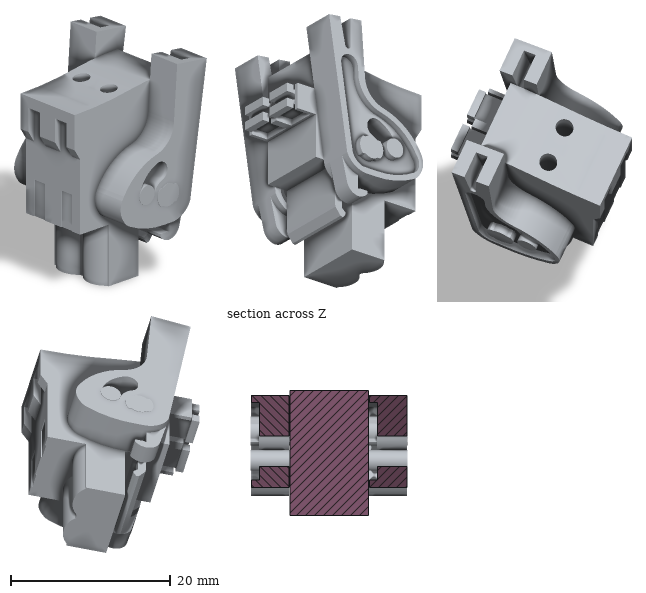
import cadquery as cq
import math


housing_width = 9.95
pole_offset = 2.5
front_lip = 0.95
lip_bottom = 11.7
lip_chamfer_bottom = 10.15
front_top = 16.47
crown_y, crown_z = 8.9, 17.33
back_y = 15.75
back_top = 17.85
back_bottom = 2.9

block_back = 18.65
block_bottom = 8.85
block_top = 12.4
bay_front = 16.27
bay_width = 3.9

upper_pocket_width = 2.13
upper_pocket_top = 14.95
lower_pocket_width = 2.0
lower_pocket_top = 5.0
lower_pocket_depth = 0.15
pocket_outer_x = 3.5

wire_hole_diameter = 2.25
wire_hole_y = 7.25
wire_hole_bottom = 10.63

plug_back = 10.05
plug_flat_front = 4.93
plug_round_front = 3.93
plug_length = 8.35
plug_round_width = 4.45

latch_back = 12.75

lever_width = 4.72
lever_pitch = 14.82
recess_depth = 1.0
finger_slot_depth = 3.6
finger_slot_left, finger_slot_right = 14.8, 13.95
finger_slot_arc_z = 17.03
finger_slot_taper = 0.21
lever_top = 21.17
hook_width = 2.5

pivot_y, pivot_z = 10.65, 3.9
pivot_radius = 1.54
key_radius = 1.83
key_height = 2.42
pin_span = 19.7
pin_tip_x = pin_span / 2
guide_orbit = 3.8
guide_radius = 1.3
guide_start_angle = 14.6
guide_end_angle = 68.0

contact_width = 3.7
contact_z = 10.7
contact_back = 19.85
head_front = 18.85
head_height = 3.25
stem_height = 2.0
contact_slot_width = 0.95
contact_slot_arc_y = 18.92


def side_plane(x):
    """YZ plane at the given X; extrusion runs toward +X."""
    return cq.Workplane("YZ", origin=(x, 0, 0))


def box(x_range, y_range, z_range):
    size = [high - low for low, high in (x_range, y_range, z_range)]
    return cq.Workplane("XY").box(*size, centered=False).translate((x_range[0], y_range[0], z_range[0]))


def around(centre, width):
    return (centre - width / 2, centre + width / 2)


def orbit_point(angle, radius):
    """Point at a radius from the pivot, at an angle above the -Y direction."""
    turn = math.radians(angle)
    return (pivot_y - radius * math.cos(turn), pivot_z + radius * math.sin(turn))


def pivot_pin(start_x, length):
    """Round pivot with a flat-topped key on its front and back."""
    core = side_plane(start_x).center(pivot_y, pivot_z).circle(pivot_radius).extrude(length)
    disc = side_plane(start_x).center(pivot_y, pivot_z).circle(key_radius).extrude(length)
    band = box((start_x, start_x + length), around(pivot_y, 2 * key_radius), around(pivot_z, key_height))
    return core.union(disc.intersect(band))


def guide_pin(start_x, length):
    centre = orbit_point(guide_start_angle, guide_orbit)
    return side_plane(start_x).center(*centre).circle(guide_radius).extrude(length)


def housing_shell():
    return (
        side_plane(-housing_width / 2)
        .moveTo(-front_lip, front_top)
        .threePointArc((4.78, 16.77), (crown_y, crown_z))
        .threePointArc((11.99, 17.7), (back_y, back_top))
        .lineTo(back_y, block_top)
        .lineTo(block_back, block_top)
        .lineTo(block_back, block_bottom)
        .lineTo(back_y, block_bottom)
        .lineTo(back_y, back_bottom)
        .lineTo(latch_back, back_bottom)
        .lineTo(latch_back, 0)
        .lineTo(0, 0)
        .lineTo(0, lip_chamfer_bottom)
        .lineTo(-front_lip, lip_bottom)
        .close()
        .extrude(housing_width)
    )


def latch_tongue():
    profile = [
        (latch_back, 0), (11.28, 0), (11.65, -0.97), (11.65, -2.98), (11.1, -3.48), (11.1, -3.78),
        (11.45, -4.28), (11.87, -4.2), (12.65, -3.15), (latch_back, -2.63),
    ]
    return side_plane(-housing_width / 2).polyline(profile).close().extrude(housing_width)


def plug():
    half_width = housing_width / 2
    outline = cq.Workplane("XY").moveTo(half_width, plug_back).lineTo(-half_width, plug_back)
    outline = outline.lineTo(-half_width, plug_flat_front)
    for x in (-pole_offset, pole_offset):
        left, right = around(x, plug_round_width)
        outline = outline.lineTo(left, plug_flat_front)
        outline = outline.threePointArc((x, plug_round_front), (right, plug_flat_front))
    return outline.lineTo(half_width, plug_flat_front).close().extrude(-plug_length)


def make_housing():
    body = housing_shell().union(latch_tongue()).union(plug())
    for side in (-1, 1):
        pole_x = side * pole_offset
        bay = box(around(pole_x, bay_width), (bay_front, block_back), (block_bottom, block_top))
        upper_x = side * (pocket_outer_x - upper_pocket_width / 2)
        upper_span = around(upper_x, upper_pocket_width)
        upper = box(upper_span, (-front_lip, 0), (lip_chamfer_bottom, upper_pocket_top))
        lower_x = side * (pocket_outer_x - lower_pocket_width / 2)
        lower_span = around(lower_x, lower_pocket_width)
        lower = box(lower_span, (0, lower_pocket_depth), (0, lower_pocket_top))
        wire_hole = (
            cq.Workplane("XY", origin=(pole_x, wire_hole_y, wire_hole_bottom))
            .circle(wire_hole_diameter / 2)
            .extrude(back_top - wire_hole_bottom)
        )
        body = body.cut(bay).cut(upper).cut(lower).cut(wire_hole)
    pin_start = housing_width / 2
    pin_length = pin_tip_x - pin_start
    for start_x in (-pin_tip_x, pin_start):
        body = body.union(pivot_pin(start_x, pin_length)).union(guide_pin(start_x, pin_length))
    return body


def lever_plate(outer_x):
    return (
        side_plane(outer_x)
        .moveTo(17.33, 20.55)
        .lineTo(12.22, lever_top)
        .lineTo(11.65, 13.43)
        .threePointArc((10.85, 11.28), (8.7, 9.9))
        .threePointArc((5.65, 8.5), (3.05, 5.73))
        .lineTo(2.75, 5.2)
        .threePointArc((2.48, 3.8), (2.98, 2.4))
        .threePointArc((3.42, 1.8), (3.99, 1.42))
        .threePointArc((6.7, 0.38), (10.0, 0))
        .lineTo(11.4, 0)
        .threePointArc((13.15, 0.53), (14.46, 2.07))
        .close()
        .extrude(lever_width)
    )


def lever_recess(outer_x):
    return (
        side_plane(outer_x)
        .moveTo(15.45, 14.5)
        .threePointArc((14.1, 15.85), (12.78, 14.58))
        .lineTo(12.72, 13.9)
        .threePointArc((11.9, 11.1), (8.95, 9.15))
        .threePointArc((5.65, 7.5), (3.48, 4.85))
        .threePointArc((3.1, 3.8), (3.99, 2.3))
        .threePointArc((6.7, 1.18), (9.48, 0.83))
        .lineTo(11.99, 0.83)
        .threePointArc((12.95, 1.4), (13.6, 2.42))
        .close()
        .extrude(recess_depth)
    )


def finger_slot(outer_x):
    mid_y = (finger_slot_left + finger_slot_right) / 2
    arc_radius = (finger_slot_left - finger_slot_right) / 2
    open_left = finger_slot_left + finger_slot_taper * (lever_top - finger_slot_arc_z)
    return (
        side_plane(outer_x)
        .moveTo(open_left, lever_top)
        .lineTo(finger_slot_left, finger_slot_arc_z)
        .threePointArc((mid_y, finger_slot_arc_z - arc_radius), (finger_slot_right, finger_slot_arc_z))
        .lineTo(finger_slot_right, lever_top)
        .close()
        .extrude(finger_slot_depth)
    )


def guide_slot(outer_x):
    """Curved slot around the pivot, one guide pin wide, with round ends."""
    middle_angle = (guide_start_angle + guide_end_angle) / 2
    inner = guide_orbit - guide_radius
    outer = guide_orbit + guide_radius
    band = (
        side_plane(outer_x)
        .moveTo(*orbit_point(guide_start_angle, inner))
        .threePointArc(orbit_point(middle_angle, inner), orbit_point(guide_end_angle, inner))
        .lineTo(*orbit_point(guide_end_angle, outer))
        .threePointArc(orbit_point(middle_angle, outer), orbit_point(guide_start_angle, outer))
        .close()
        .extrude(lever_width)
    )
    ends = [orbit_point(guide_start_angle, guide_orbit), orbit_point(guide_end_angle, guide_orbit)]
    return band.union(side_plane(outer_x).pushPoints(ends).circle(guide_radius).extrude(lever_width))


def lever_hook(centre_x):
    return (
        side_plane(centre_x - hook_width / 2)
        .moveTo(14.46, 2.07)
        .lineTo(13.65, -1.42)
        .threePointArc((13.22, -2.2), (11.9, -2.85))
        .threePointArc((10.98, -2.63), (10.4, -2.1))
        .lineTo(10.4, -1.7)
        .lineTo(11.63, -1.7)
        .lineTo(11.63, -1.8)
        .lineTo(11.9, -1.8)
        .lineTo(11.9, 1.18)
        .close()
        .extrude(hook_width)
    )


def make_lever(centre_x):
    outer_x = centre_x - lever_width / 2
    return (
        lever_plate(outer_x)
        .union(lever_hook(centre_x))
        .cut(lever_recess(outer_x))
        .cut(finger_slot(outer_x))
        .cut(guide_slot(outer_x))
        .cut(pivot_pin(outer_x, lever_width))
    )


def make_contact(centre_x):
    across = around(centre_x, contact_width)
    head = box(across, (head_front, contact_back), around(contact_z, head_height))
    stem = box(across, (bay_front, head_front), around(contact_z, stem_height))
    slot = box(across, (contact_slot_arc_y, contact_back), around(contact_z, contact_slot_width))
    slot_end = (
        side_plane(across[0])
        .center(contact_slot_arc_y, contact_z)
        .circle(contact_slot_width / 2)
        .extrude(contact_width)
    )
    return head.union(stem).cut(slot).cut(slot_end)


housing = make_housing()
levers = [make_lever(side * lever_pitch / 2) for side in (-1, 1)]
contacts = [make_contact(side * pole_offset) for side in (-1, 1)]

result = cq.Compound.makeCompound([
    housing.solids().val(),
    *[lever.solids().val() for lever in levers],
    *[contact.solids().val() for contact in contacts],
])